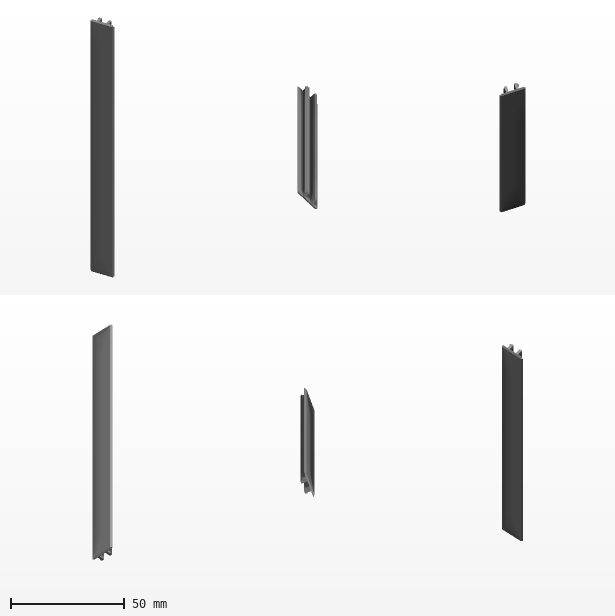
import cadquery as cq

length = 130.0
width = 12.0
depth = 3.6
plate_thickness = 0.8
rim_thickness = 0.1
bevel = plate_thickness - rim_thickness

rib_gap = 3.5
rib_thickness = 1.2
hook_reach = 0.5
hook_height = 0.9

front_y = -depth / 2
plate_back_y = front_y + plate_thickness
rim_y = plate_back_y - rim_thickness
rib_tip_y = depth / 2


def bevelled_bar(plane, span, run):
    """Bar of plate thickness whose two long edges slope in from a thin rim to the outer face."""
    half_back = span / 2
    half_front = half_back - bevel
    profile = [
        (-half_back, plate_back_y),
        (half_back, plate_back_y),
        (half_back, rim_y),
        (half_front, front_y),
        (-half_front, front_y),
        (-half_back, rim_y),
    ]
    if plane == "YZ":
        profile = [(y, z) for z, y in profile]
    return cq.Workplane(plane).polyline(profile).close().extrude(run / 2, both=True)


def make_plate():
    """Two crossing bevelled bars, which leave a small square notch at each corner."""
    upright = bevelled_bar("XY", width, length - 2 * bevel)
    crosswise = bevelled_bar("YZ", length, width - 2 * bevel)
    return upright.union(crosswise)


def make_rib(side):
    """Full-length rib with an outward hook; side is -1 (left) or +1 (right)."""
    inner_x = side * rib_gap / 2
    outer_x = side * (rib_gap / 2 + rib_thickness)
    hook_x = outer_x + side * hook_reach
    hook_base_y = rib_tip_y - hook_height
    profile = [
        (inner_x, plate_back_y),
        (outer_x, plate_back_y),
        (outer_x, hook_base_y),
        (hook_x, hook_base_y),
        (outer_x, rib_tip_y),
        (inner_x, rib_tip_y),
    ]
    return cq.Workplane("XY").polyline(profile).close().extrude(length / 2, both=True)


result = make_plate()
for side in (-1, 1):
    result = result.union(make_rib(side))